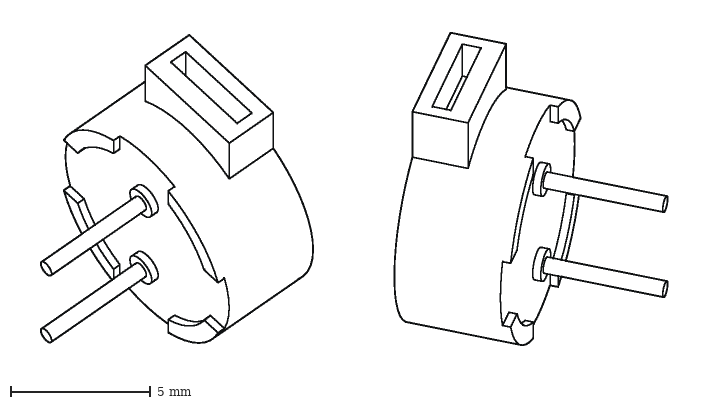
import cadquery as cq

body_diameter = 9.0
body_radius = body_diameter / 2
body_depth = 4.0

standoff_height = 0.3
pad_inner_radius = 3.78
pad_gap = 3.0

overall_height = 10.5
outlet_top = overall_height - body_radius
outlet_width = 4.62
outlet_depth = 2.1
slot_width = 3.64
slot_depth = 0.7
slot_back_wall = 0.6
slot_floor = body_radius

pin_diameter = 0.6
pin_length = 4.5
pin_pitch = 4.0
collar_diameter = 1.2


def cylinder_toward_front(diameter, length, z=0):
    """Cylinder from the pin-side face (Y = 0) toward -Y, centred at height z."""
    return cq.Workplane("XZ").center(0, z).circle(diameter / 2).extrude(length)


def make_body():
    return cq.Workplane("XZ").circle(body_radius).extrude(-body_depth)


def make_pads():
    """Rim ring split into four pads by a cross-shaped gap."""
    ring = (
        cq.Workplane("XZ")
        .circle(body_radius)
        .circle(pad_inner_radius)
        .extrude(standoff_height)
    )
    for width, height in ((body_diameter, pad_gap), (pad_gap, body_diameter)):
        ring = ring.cut(cq.Workplane("XZ").rect(width, height).extrude(standoff_height))
    return ring


def make_outlet():
    """Solid block from the housing axis up to the outlet's top face."""
    return (
        cq.Workplane("XY")
        .center(0, body_depth - outlet_depth / 2)
        .rect(outlet_width, outlet_depth)
        .extrude(outlet_top)
    )


def make_outlet_slot():
    """Blind slot reaching down to the level of the housing's crown."""
    return (
        cq.Workplane("XY", origin=(0, 0, slot_floor))
        .center(0, body_depth - slot_back_wall - slot_depth / 2)
        .rect(slot_width, slot_depth)
        .extrude(outlet_top - slot_floor)
    )


def make_pin(z):
    collar = cylinder_toward_front(collar_diameter, standoff_height, z)
    pin = cylinder_toward_front(pin_diameter, standoff_height + pin_length, z)
    return collar.union(pin)


result = make_body().union(make_pads()).union(make_outlet()).cut(make_outlet_slot())
for pin_z in (-pin_pitch / 2, pin_pitch / 2):
    result = result.union(make_pin(pin_z))